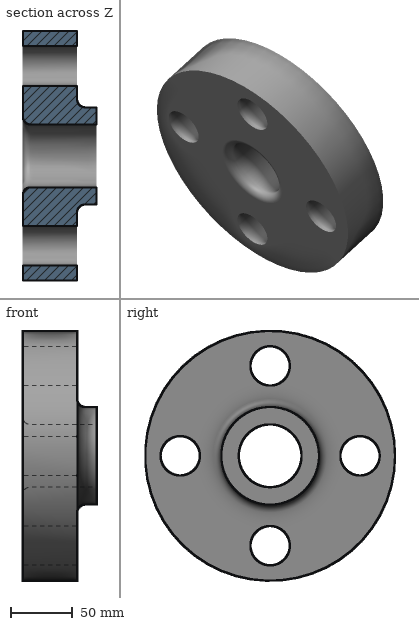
import cadquery as cq

flange_diameter = 203.2
flange_thickness = 44.45
overall_length = 60.33
hub_diameter = 79.38
hub_fillet_radius = 6.35
bore_diameter = 50.8
bore_lap_radius = 6.35
bolt_hole_diameter = 31.75
bolt_circle_diameter = 146.05
bolt_count = 4

hub_length = overall_length - flange_thickness


def cylinder(diameter, start_x, length):
    """Cylinder on the X axis, running from start_x towards +X."""
    return cq.Workplane("YZ", origin=(start_x, 0, 0)).circle(diameter / 2).extrude(length)


def flange_with_hub():
    """Flange disc and hub, blended by a fillet at the root of the hub."""
    disc = cylinder(flange_diameter, 0, flange_thickness)
    hub = cylinder(hub_diameter, flange_thickness, hub_length)
    body = disc.union(hub)
    hub_side_face = body.faces("|X").faces(">X[-2]")
    root_edge = hub_side_face.edges(cq.selectors.RadiusNthSelector(0))
    return root_edge.fillet(hub_fillet_radius)


def cut_bore(body):
    """Through bore with a rounded entry at the lap face."""
    bored = body.cut(cylinder(bore_diameter, 0, overall_length))
    lap_edge = bored.faces("<X").edges(cq.selectors.RadiusNthSelector(0))
    return lap_edge.fillet(bore_lap_radius)


def cut_bolt_holes(body):
    """Through bolt holes on the bolt circle, the first one on the Y axis."""
    holes = (
        cq.Workplane("YZ")
        .polarArray(bolt_circle_diameter / 2, 0, 360, bolt_count)
        .circle(bolt_hole_diameter / 2)
        .extrude(flange_thickness)
    )
    return body.cut(holes)


result = cut_bolt_holes(cut_bore(flange_with_hub()))